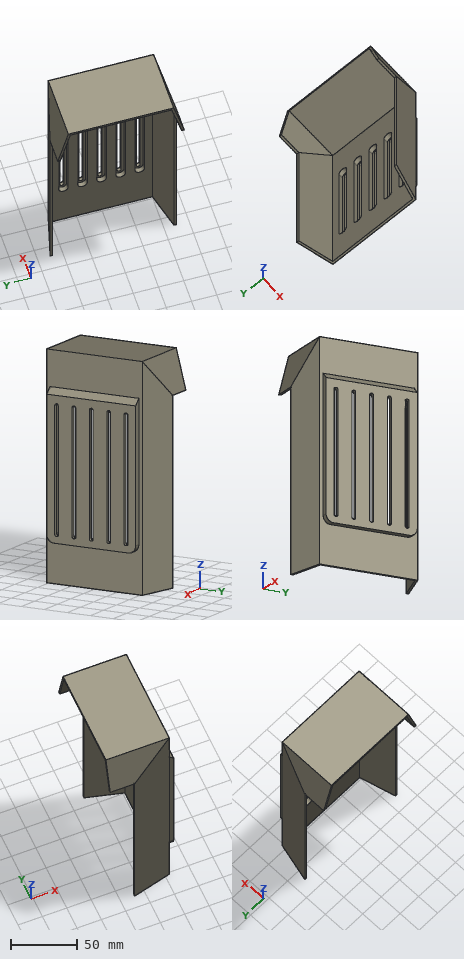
import cadquery as cq
import math

height = 182.0
depth = 57.0
open_width = 100.1
closed_width = 83.4
sheet = 2.0
flange_reach = 32.0

pad_thickness = 5.0
pad_width = 77.4
pad_bottom = 33.0
pad_top = 153.0
pad_corner_radius = 6.2

slot_count = 5
slot_pitch = 15.1
slot_bottom = 36.2
slot_top = 143.8
slot_width = 7.5
slot_step = 2.2
ledge_thickness = 3.0

back_x = depth - pad_thickness
flange_x = back_x - flange_reach
hood_edge_z = height - flange_reach


def channel_points():
    """Channel section as (across, inward) pairs, with inward measured from the outer face."""
    outer_half = closed_width / 2
    open_half = open_width / 2
    flare = (open_half - outer_half) / flange_reach
    wall_across = sheet * math.hypot(1, flare)
    inner_half = outer_half + flare * sheet - wall_across
    right = [
        (outer_half, 0),
        (open_half, flange_reach),
        (open_half - wall_across, flange_reach),
        (inner_half, sheet),
    ]
    left = [(-across, inward) for across, inward in reversed(right)]
    return right + left


def side_limit(points):
    """Block with an XZ outline, spanning the full width of the cover."""
    return cq.Workplane("XZ").polyline(points).close().extrude(open_width, both=True)


def make_trough():
    section = [(back_x - inward, across) for across, inward in channel_points()]
    channel = cq.Workplane("XY").polyline(section).close().extrude(height)
    limit = side_limit([(flange_x, 0), (back_x, 0), (back_x, height), (flange_x, hood_edge_z)])
    return channel.intersect(limit)


def make_hood():
    section = [(across, height - inward) for across, inward in channel_points()]
    channel = cq.Workplane("YZ").polyline(section).close().extrude(back_x)
    limit = side_limit([(0, hood_edge_z), (flange_x, hood_edge_z), (back_x, height), (0, height)])
    return channel.intersect(limit)


def make_pad():
    """Back pad with rounded lower corners and a 45 degree sloped top."""
    outline = [
        (back_x, pad_bottom),
        (depth, pad_bottom),
        (depth, pad_top - pad_thickness),
        (back_x, pad_top),
    ]
    pad = cq.Workplane("XZ").polyline(outline).close().extrude(pad_width / 2, both=True)
    return pad.edges("|X and <Z").fillet(pad_corner_radius)


def slot_row(start_x, width, length):
    """Row of vertical round-ended cutters running from start_x out through the pad."""
    return (
        cq.Workplane("YZ", origin=(start_x, 0, (slot_bottom + slot_top) / 2))
        .rarray(slot_pitch, 1.8, slot_count, 1)
        .slot2D(length, width, 90)
        .extrude(depth - start_x)
    )


def cut_slots(body):
    slot_length = slot_top - slot_bottom
    front_x = back_x - sheet
    wide = slot_row(front_x, slot_width, slot_length)
    ledge = cq.Workplane("XY").box(
        ledge_thickness, open_width, height, centered=(False, True, False)
    ).translate((depth - ledge_thickness, 0, 0))
    narrow = slot_row(front_x, slot_width - 2 * slot_step, slot_length - 2 * slot_step)
    return body.cut(wide.cut(ledge)).cut(narrow)


result = cut_slots(make_trough().union(make_hood()).union(make_pad()))